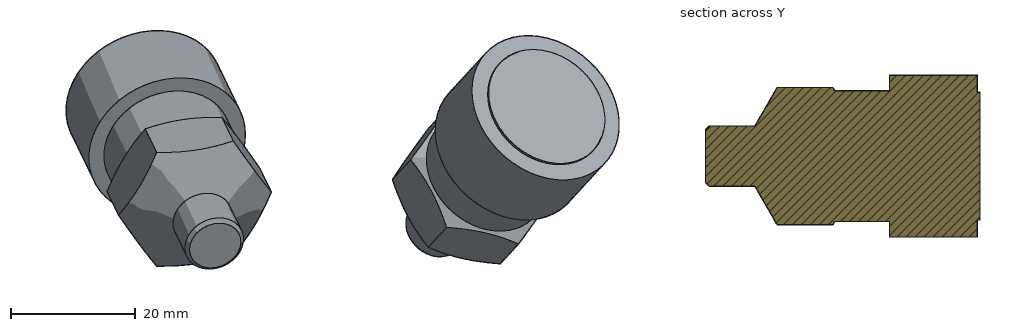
import cadquery as cq
import math

total_length = 44.0
pad_depth = 0.45
head_end = 14.5
hex_start = 23.28
neck_start = 36.1

pad_diameter = 20.5
head_diameter = 26.0
body_diameter = 21.05
neck_diameter = 9.72
hex_across_flats = 22.0
hex_sides = 6

cone_angle = math.radians(30)
tip_chamfer = 0.6

hex_across_corners = hex_across_flats / math.cos(math.pi / hex_sides)


def cylinder(start, end, diameter):
    """Solid cylinder along X between two positions."""
    return cq.Workplane("YZ", origin=(start, 0, 0)).circle(diameter / 2).extrude(end - start)


def cone_length(small_diameter, large_diameter):
    """Axial length of a cone joining two diameters at the cone angle."""
    return (large_diameter - small_diameter) / 2 * math.tan(cone_angle)


def hex_section():
    """Hexagon with flats facing Z, trimmed by a cone at each end."""
    prism = (
        cq.Workplane("YZ", origin=(hex_start, 0, 0))
        .polygon(hex_sides, hex_across_corners)
        .extrude(neck_start - hex_start)
    )
    corner_radius = hex_across_corners / 2
    front_cone_end = hex_start + cone_length(body_diameter, hex_across_corners)
    shoulder_start = neck_start - cone_length(neck_diameter, hex_across_corners)
    envelope = (
        cq.Workplane("XY")
        .moveTo(hex_start, 0)
        .lineTo(hex_start, body_diameter / 2)
        .lineTo(front_cone_end, corner_radius)
        .lineTo(shoulder_start, corner_radius)
        .lineTo(neck_start, neck_diameter / 2)
        .lineTo(neck_start, 0)
        .close()
        .revolve(360, (0, 0, 0), (1, 0, 0))
    )
    return prism.intersect(envelope)


pad = cylinder(0, pad_depth, pad_diameter)
head = cylinder(pad_depth, head_end, head_diameter)
body = cylinder(head_end, hex_start, body_diameter)
neck = cylinder(neck_start, total_length, neck_diameter).faces(">X").chamfer(tip_chamfer)

result = pad.union(head).union(body).union(hex_section()).union(neck)